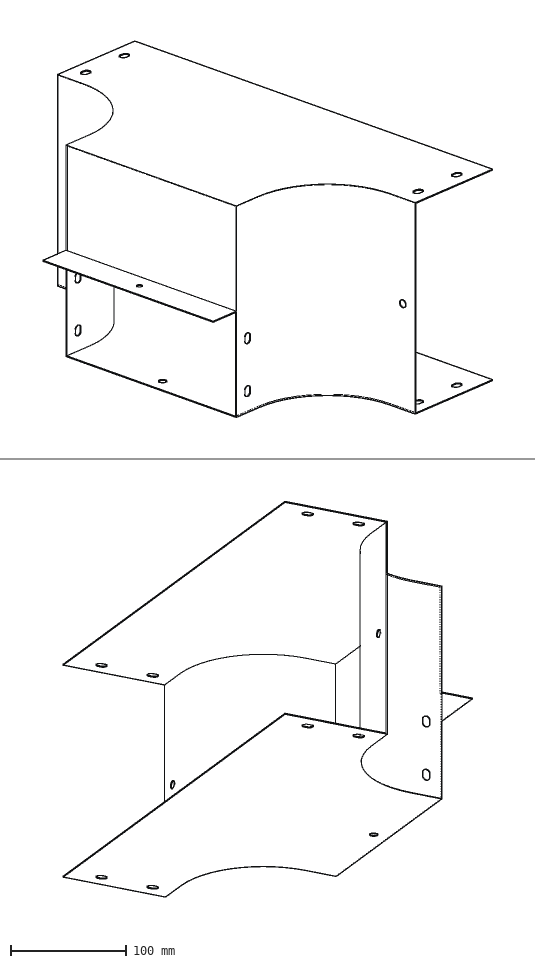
import cadquery as cq

LENGTH = 420.0
HEIGHT = 200.0
THROAT_WIDTH = 200.0
RUN_DEPTH = 100.0
LIP = 30.0
SHEET = 1.0
HOLE_DIAMETER = 7.0
SLOT_LENGTH = 10.0
FLANGE_HOLE_DIAMETER = 5.0
SLOT_PITCH = 50.0
RUN_SLOT_INSET = 30.0
WALL_SLOT_INSET = 20.0

HALF_LENGTH = LENGTH / 2
HALF_THROAT = THROAT_WIDTH / 2
BEND_RADIUS = HALF_LENGTH - HALF_THROAT - LIP
BRANCH_FRONT = -(RUN_DEPTH + BEND_RADIUS + LIP)
HOLE_INSET = LIP / 2
MIDDLE_Z = HEIGHT / 2
RUN_HOLE_X = HALF_LENGTH - HOLE_INSET
BRANCH_HOLE_Y = BRANCH_FRONT + HOLE_INSET


def tee_prism(offset, height):
    """Tee-shaped prism with its side walls moved inward by offset."""
    wall_x = HALF_THROAT - offset
    run_y = -RUN_DEPTH + offset
    bend_x = HALF_LENGTH - LIP
    bend_y = -RUN_DEPTH - BEND_RADIUS
    diagonal = (BEND_RADIUS + offset) * 0.5 ** 0.5
    arc_x = bend_x - diagonal
    arc_y = bend_y + diagonal
    return (
        cq.Workplane("XY")
        .moveTo(-HALF_LENGTH, 0)
        .lineTo(HALF_LENGTH, 0)
        .lineTo(HALF_LENGTH, run_y)
        .lineTo(bend_x, run_y)
        .threePointArc((arc_x, arc_y), (wall_x, bend_y))
        .lineTo(wall_x, BRANCH_FRONT)
        .lineTo(-wall_x, BRANCH_FRONT)
        .lineTo(-wall_x, bend_y)
        .threePointArc((-arc_x, arc_y), (-bend_x, run_y))
        .lineTo(-HALF_LENGTH, run_y)
        .close()
        .extrude(height)
    )


def duct():
    """Top and bottom sheets joined by the two bent side walls."""
    cavity = tee_prism(SHEET, HEIGHT - 2 * SHEET).translate((0, 0, SHEET))
    return tee_prism(0, HEIGHT).cut(cavity)


def front_panel():
    """Panel closing the upper half of the branch, with a flange bent outward."""
    panel_bottom = MIDDLE_Z - SHEET / 2
    panel = cq.Workplane("XY").box(
        THROAT_WIDTH - 2 * SHEET, SHEET, HEIGHT - SHEET - panel_bottom, centered=(True, False, False)
    ).translate((0, BRANCH_FRONT, panel_bottom))
    flange = cq.Workplane("XY").box(
        THROAT_WIDTH, LIP, SHEET, centered=(True, False, False)
    ).translate((0, BRANCH_FRONT - LIP, panel_bottom))
    return panel.union(flange)


def run_slots():
    """Vertical slot cutters through both sheets at the ends of the run."""
    first_y = -RUN_SLOT_INSET
    points = [(x, y) for x in (-RUN_HOLE_X, RUN_HOLE_X) for y in (first_y, first_y - SLOT_PITCH)]
    return (
        cq.Workplane("XY").pushPoints(points)
        .slot2D(SLOT_LENGTH, HOLE_DIAMETER, 90).extrude(HEIGHT)
    )


def branch_wall_slots():
    """Slot cutters along X through both branch walls."""
    points = [(BRANCH_HOLE_Y, z) for z in (WALL_SLOT_INSET, WALL_SLOT_INSET + SLOT_PITCH)]
    return (
        cq.Workplane("YZ").pushPoints(points)
        .slot2D(SLOT_LENGTH, HOLE_DIAMETER, 90).extrude(HALF_LENGTH, both=True)
    )


def run_wall_holes():
    """Round hole cutters along Y through the flat ends of the side walls."""
    points = [(-RUN_HOLE_X, MIDDLE_Z), (RUN_HOLE_X, MIDDLE_Z)]
    return (
        cq.Workplane("XZ").pushPoints(points)
        .circle(HOLE_DIAMETER / 2).extrude(RUN_DEPTH)
    )


def branch_floor_hole():
    """Round hole cutter through the bottom sheet at the branch mouth."""
    return (
        cq.Workplane("XY").center(0, BRANCH_HOLE_Y)
        .circle(HOLE_DIAMETER / 2).extrude(SHEET)
    )


def flange_hole():
    """Round hole cutter through the middle of the flange."""
    return (
        cq.Workplane("XY").center(0, BRANCH_FRONT - HOLE_INSET)
        .circle(FLANGE_HOLE_DIAMETER / 2).extrude(HEIGHT)
    )


result = duct().union(front_panel())
for cutter in (run_slots(), branch_wall_slots(), run_wall_holes(), branch_floor_hole(), flange_hole()):
    result = result.cut(cutter)